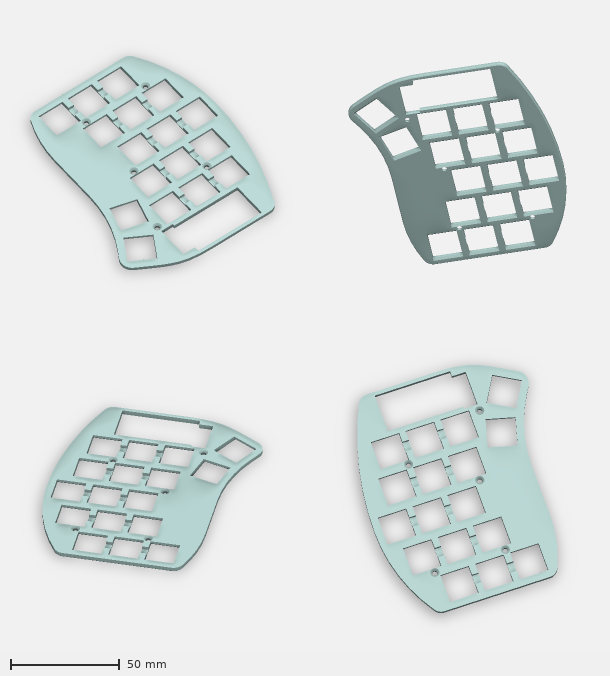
import cadquery as cq
import math

PLATE_LENGTH = 112.03
PLATE_WIDTH = 91.31
THICKNESS = 2.2
BOTTOM_CHAMFER = 0.4

CREST_X = -8.9
CREST_LEFT_RADIUS = 80.5
CREST_RIGHT_RADIUS = 146.0
NEAR_FLAT_LEFT_X = -27.7
NEAR_FLAT_RIGHT_X = -1.65
NEAR_LEFT_RADIUS = 63.0
THUMB_EDGE_START_X = 31.4
THUMB_CORNER_START_X = 35.8
THUMB_CORNER_RADIUS = 6.0
SIDE_BEND_HIGH_Y = -6.0
SIDE_BEND_POINT = (54.0, -23.2)
SIDE_BEND_LOW_X = 48.3
SIDE_CORNER_RADIUS = 5.0

KEY_WINDOW = 13.9
COLUMN_PITCH = 18.0
ROW_PITCH = 17.0
ROWS = 3
CLIP_LEDGE = 1.2
FLARE = 1.0
MIDDLE_COLUMN_X = -9.66
COLUMN_CENTRES_Y = [0.0, 11.94, 18.06, 11.57, 9.0]
THUMB_TURN = 30.0
THUMB_KEYS = [
    (18.2, -25.65, -THUMB_TURN / 2),
    (36.72, -33.3, -THUMB_TURN),
]

CHANNEL_WIDTH = 4.75
CHANNEL_DEPTH = 1.5

BAY_LEFT_X = 35.85
BAY_RIGHT_X = 54.25
BAY_FAR_Y = 23.7
BAY_NEAR_Y = -13.0
END_BAY_LEFT_X = 34.7
END_BAY_RIGHT_X = 51.6
END_BAY_NEAR_Y = -19.65

SCREW_DIAMETER = 2.4
COUNTERSINK_DIAMETER = 4.3
COUNTERSINK_ANGLE = 90.0
GAP_SCREWS = [(0, 25.9), (0, -8.45), (2, -8.45), (3, 20.0)]
THUMB_SCREW = (31.55, -19.55)

middle_column = len(COLUMN_CENTRES_Y) // 2
column_xs = [
    MIDDLE_COLUMN_X + (column - middle_column) * COLUMN_PITCH
    for column in range(len(COLUMN_CENTRES_Y))
]


def on_circle(centre, radius, degrees):
    angle = math.radians(degrees)
    return (centre[0] + radius * math.cos(angle), centre[1] + radius * math.sin(angle))


def circle_at_x(centre, radius, x, side):
    """Point of a circle at a given X: side +1 for the upper half, -1 for the lower half."""
    return (x, centre[1] + side * math.sqrt(radius**2 - (x - centre[0]) ** 2))


def arc_middle(centre, radius, start, end):
    """Point of the shorter arc between two points, halfway along it."""
    across = (start[0] + end[0] - 2 * centre[0], start[1] + end[1] - 2 * centre[1])
    reach = radius / math.hypot(*across)
    return (centre[0] + across[0] * reach, centre[1] + across[1] * reach)


def make_plate():
    left_x = -PLATE_LENGTH / 2
    right_x = PLATE_LENGTH / 2
    crest = (CREST_X, PLATE_WIDTH / 2)
    turn = math.radians(THUMB_TURN)

    corner_start_angle = 270 - THUMB_TURN
    corner_end_angle = 360 - THUMB_TURN
    corner_centre = (
        THUMB_CORNER_START_X + THUMB_CORNER_RADIUS * math.sin(turn),
        -PLATE_WIDTH / 2 + THUMB_CORNER_RADIUS,
    )
    corner_start = on_circle(corner_centre, THUMB_CORNER_RADIUS, corner_start_angle)
    corner_middle = on_circle(
        corner_centre, THUMB_CORNER_RADIUS, (corner_start_angle + corner_end_angle) / 2
    )
    corner_end = on_circle(corner_centre, THUMB_CORNER_RADIUS, corner_end_angle)

    thumb_edge_start = (
        THUMB_EDGE_START_X,
        corner_start[1] + (THUMB_CORNER_START_X - THUMB_EDGE_START_X) * math.tan(turn),
    )
    near_right_radius = (THUMB_EDGE_START_X - NEAR_FLAT_RIGHT_X) / math.sin(turn)
    near_y = thumb_edge_start[1] + near_right_radius * (1 - math.cos(turn))
    near_flat_right = (NEAR_FLAT_RIGHT_X, near_y)
    near_flat_left = (NEAR_FLAT_LEFT_X, near_y)
    near_right_centre = (NEAR_FLAT_RIGHT_X, near_y - near_right_radius)
    near_left_centre = (NEAR_FLAT_LEFT_X, near_y + NEAR_LEFT_RADIUS)
    near_left = circle_at_x(near_left_centre, NEAR_LEFT_RADIUS, left_x, -1)

    crest_left_centre = (CREST_X, crest[1] - CREST_LEFT_RADIUS)
    crest_right_centre = (CREST_X, crest[1] - CREST_RIGHT_RADIUS)
    far_left = circle_at_x(crest_left_centre, CREST_LEFT_RADIUS, left_x, 1)
    far_right = circle_at_x(crest_right_centre, CREST_RIGHT_RADIUS, right_x, 1)

    bend_high = (right_x, SIDE_BEND_HIGH_Y)
    bend_low = (
        SIDE_BEND_LOW_X,
        corner_end[1] + (SIDE_BEND_LOW_X - corner_end[0]) / math.tan(turn),
    )

    plate = (
        cq.Workplane("XY")
        .moveTo(*far_left)
        .threePointArc(arc_middle(crest_left_centre, CREST_LEFT_RADIUS, far_left, crest), crest)
        .threePointArc(arc_middle(crest_right_centre, CREST_RIGHT_RADIUS, crest, far_right), far_right)
        .lineTo(*bend_high)
        .spline(
            [bend_high, SIDE_BEND_POINT, bend_low],
            tangents=[(0, -1), (-math.sin(turn), -math.cos(turn))],
        )
        .lineTo(*corner_end)
        .threePointArc(corner_middle, corner_start)
        .lineTo(*thumb_edge_start)
        .threePointArc(
            arc_middle(near_right_centre, near_right_radius, thumb_edge_start, near_flat_right),
            near_flat_right,
        )
        .lineTo(*near_flat_left)
        .threePointArc(
            arc_middle(near_left_centre, NEAR_LEFT_RADIUS, near_flat_left, near_left), near_left
        )
        .close()
        .extrude(THICKNESS)
    )
    for x, y in (far_left, near_left, far_right):
        plate = plate.edges(cq.selectors.NearestToPointSelector((x, y, THICKNESS / 2))).fillet(
            SIDE_CORNER_RADIUS
        )
    return plate.faces("<Z").edges().chamfer(BOTTOM_CHAMFER)


def box_between(x_range, y_range, bottom):
    """Cutter over a rectangle, from a given height up to the top face."""
    width = x_range[1] - x_range[0]
    length = y_range[1] - y_range[0]
    return (
        cq.Workplane("XY")
        .box(width, length, THICKNESS - bottom, centered=False)
        .translate((x_range[0], y_range[0], bottom))
    )


def key_window(x, y, turn=0):
    """Cutter for one key window with sides that flare out towards the underside."""
    window = cq.Workplane("XY").rect(KEY_WINDOW, KEY_WINDOW).extrude(THICKNESS)
    half = KEY_WINDOW / 2
    flare = (
        cq.Workplane("XZ")
        .polyline(
            [
                (-half - FLARE, 0),
                (half + FLARE, 0),
                (half, THICKNESS - CLIP_LEDGE),
                (-half, THICKNESS - CLIP_LEDGE),
            ]
        )
        .close()
        .extrude(half, both=True)
    )
    window = window.union(flare)
    return window.rotate((0, 0, 0), (0, 0, 1), turn).translate((x, y, 0))


def cut_keys(plate):
    row_reach = (ROWS - 1) / 2 * ROW_PITCH
    for x, centre_y in zip(column_xs, COLUMN_CENTRES_Y):
        for row in range(ROWS):
            plate = plate.cut(key_window(x, centre_y - row_reach + row * ROW_PITCH))
        channel = box_between(
            (x - CHANNEL_WIDTH / 2, x + CHANNEL_WIDTH / 2),
            (centre_y - row_reach, centre_y + row_reach),
            THICKNESS - CHANNEL_DEPTH,
        )
        plate = plate.cut(channel)
    for x, y, turn in THUMB_KEYS:
        plate = plate.cut(key_window(x, y, turn))
    return plate


def cut_controller_window(plate):
    bay = box_between((BAY_LEFT_X, BAY_RIGHT_X), (BAY_NEAR_Y, BAY_FAR_Y), 0)
    end_bay = box_between((END_BAY_LEFT_X, END_BAY_RIGHT_X), (END_BAY_NEAR_Y, BAY_NEAR_Y), 0)
    return plate.cut(bay.union(end_bay))


def cut_screw_holes(plate):
    centres = [(column_xs[gap] + COLUMN_PITCH / 2, y) for gap, y in GAP_SCREWS]
    centres.append(THUMB_SCREW)
    return (
        plate.faces(">Z")
        .workplane(origin=(0, 0, THICKNESS))
        .pushPoints(centres)
        .cskHole(SCREW_DIAMETER, COUNTERSINK_DIAMETER, COUNTERSINK_ANGLE)
    )


result = cut_screw_holes(cut_controller_window(cut_keys(make_plate())))